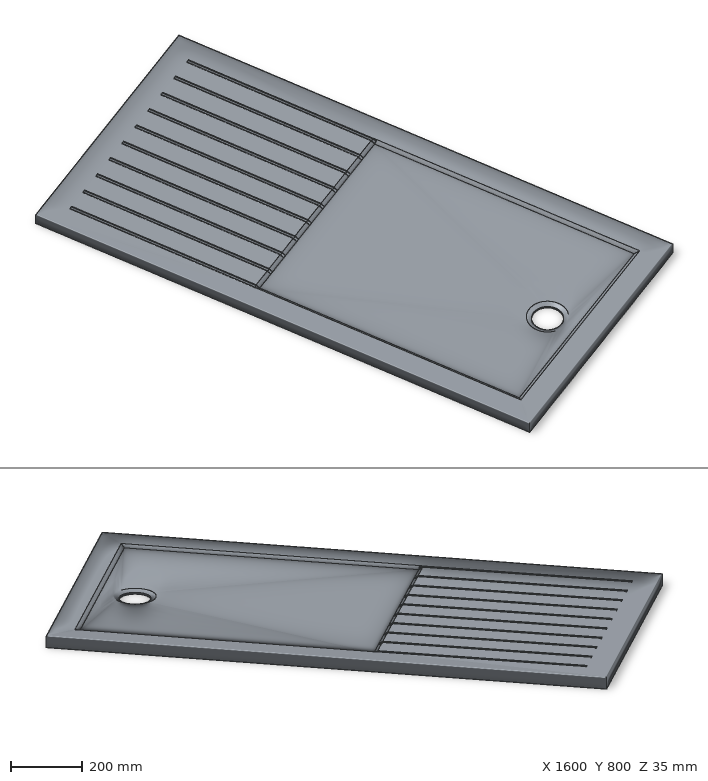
import cadquery as cq
import math

length = 1600.0
width = 800.0
height = 35.0
edge_radius = 3.0

ramp_length = 669.0
rim_width = 69.0
rim_drop = 2.4

bevel_width = 11.0
bevel_drop = 8.0

drain_x = 1425.0
drain_drop = 13.0
drain_radius = 60.0
hole_radius = 45.0
countersink_depth = 6.0

groove_count = 10
groove_width = 10.0
groove_depth = 3.0
groove_start = 72.0

drain_y = width / 2
rim_z = height - rim_drop
basin_edge_z = rim_z - bevel_drop
drain_z = basin_edge_z - drain_drop
basin_inset = rim_width + bevel_width
basin_start = ramp_length + bevel_width
basin_end = length - basin_inset
basin_width = width - 2 * basin_inset
basin_length = basin_end - basin_start


def rectangle_wire(x_start, x_end, inset, z):
    """Horizontal rectangle, kept the same inset from both long sides of the slab."""
    corners = [
        (x_start, inset, z),
        (x_end, inset, z),
        (x_end, width - inset, z),
        (x_start, width - inset, z),
    ]
    return cq.Wire.makePolygon([cq.Vector(*corner) for corner in corners], close=True)


def drain_point(degrees):
    angle = math.radians(degrees)
    x = drain_x + drain_radius * math.cos(angle)
    y = drain_y + drain_radius * math.sin(angle)
    return cq.Vector(x, y, drain_z)


def drain_wire():
    """Drain circle in four arcs, sharing its length out like the sides of the basin."""
    half_angle = 90 * basin_width / (basin_width + basin_length)
    corner_angles = [half_angle - 180, -half_angle, half_angle, 180 - half_angle, 180 + half_angle]
    arcs = []
    for start, end in zip(corner_angles, corner_angles[1:]):
        middle = (start + end) / 2
        arcs.append(cq.Edge.makeThreePointArc(drain_point(start), drain_point(middle), drain_point(end)))
    return cq.Wire.assembleEdges(arcs)


def ruled_solid(lower_wire, upper_wire):
    return cq.Workplane(obj=cq.Solid.makeLoft([lower_wire, upper_wire], True))


def basin_cutters():
    """Sloping rim, bevelled step and basin floor, from the top down."""
    rim_outer = rectangle_wire(edge_radius, length - edge_radius, edge_radius, height)
    rim_inner = rectangle_wire(ramp_length, length - rim_width, rim_width, rim_z)
    basin_edge = rectangle_wire(basin_start, basin_end, basin_inset, basin_edge_z)
    return [
        ruled_solid(rim_inner, rim_outer),
        ruled_solid(basin_edge, rim_inner),
        ruled_solid(drain_wire(), basin_edge),
    ]


def drain_cutter():
    """Through hole with a conical countersink at the low point of the basin."""
    countersink_base = cq.Vector(drain_x, drain_y, drain_z - countersink_depth)
    countersink = cq.Solid.makeCone(hole_radius, drain_radius, countersink_depth, countersink_base)
    hole = cq.Solid.makeCylinder(hole_radius, height, cq.Vector(drain_x, drain_y, 0))
    return cq.Workplane(obj=countersink).union(cq.Workplane(obj=hole))


def ramp_z(x):
    return height - rim_drop * (x - edge_radius) / (ramp_length - edge_radius)


def groove_cutter(y):
    """Groove of even depth along the ramp; its closed end curves up to the surface."""
    curve_end = groove_start + groove_depth
    curve_middle_x = groove_start + groove_depth * (1 - math.sqrt(0.5))
    curve_middle_z = ramp_z(curve_middle_x) - groove_depth * math.sqrt(0.5)
    return (
        cq.Workplane("XZ", origin=(0, y, 0))
        .moveTo(groove_start, height)
        .lineTo(groove_start, ramp_z(groove_start))
        .threePointArc((curve_middle_x, curve_middle_z), (curve_end, ramp_z(curve_end) - groove_depth))
        .lineTo(ramp_length, rim_z - groove_depth)
        .lineTo(basin_start, basin_edge_z)
        .lineTo(basin_start, height)
        .close()
        .extrude(groove_width / 2, both=True)
    )


result = cq.Workplane().box(length, width, height, centered=False)
result = result.faces(">Z").edges().fillet(edge_radius)

for cutter in basin_cutters():
    result = result.cut(cutter)

result = result.cut(drain_cutter())

first_groove_y = rim_width + bevel_width / 2
groove_pitch = (width - 2 * first_groove_y) / (groove_count - 1)
for index in range(groove_count):
    result = result.cut(groove_cutter(first_groove_y + index * groove_pitch))